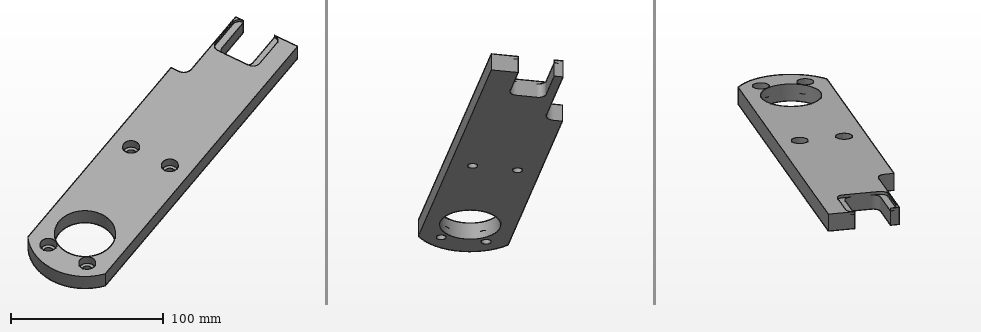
import cadquery as cq

length = 249.9
width = 60.0
thickness = 12.0
end_radius = 37.5
bottom_y = -length / 2
top_y = length / 2
bore_y = bottom_y + end_radius

step_width = 12.0
step_length = 60.0
step_fillet = 6.0

slot_width = 24.0
slot_length = 31.0
slot_fillet = 5.0
recess_width = 34.0
recess_depth = 2.0
recess_fillet = 5.0

bore_diameter = 40.0
screw_diameter = 6.5
counterbore_diameter = 11.0
counterbore_depth = 6.5
screw_spacing = 30.0
lower_screw_y = bottom_y + 16.5
upper_screw_y = bottom_y + 117.5


def make_blank():
    """Straight plate with a rounded end."""
    half_width = width / 2
    shoulder_y = bore_y - (end_radius**2 - half_width**2) ** 0.5
    return (
        cq.Workplane("XY")
        .moveTo(-half_width, top_y)
        .lineTo(-half_width, shoulder_y)
        .threePointArc((0, bottom_y), (half_width, shoulder_y))
        .lineTo(half_width, top_y)
        .close()
        .extrude(thickness)
    )


def cut_step(plate):
    """Remove the corner beside the fork and round its inner corner."""
    step_y = top_y - step_length
    step = (
        cq.Workplane("XY")
        .box(step_width, step_length, thickness, centered=False)
        .translate((-width / 2, step_y, 0))
        .edges(">X and <Y")
        .fillet(step_fillet)
    )
    return plate.cut(step)


def cut_fork(plate):
    """Cut the through slot and the round-cornered recess around it."""
    slot_centre_y = top_y - slot_length / 2
    slot = (
        cq.Workplane("XY")
        .center(0, slot_centre_y)
        .rect(slot_width, slot_length)
        .extrude(thickness)
        .edges("|Z and <Y")
        .fillet(slot_fillet)
    )
    recess = (
        cq.Workplane("XY", origin=(0, slot_centre_y, thickness - recess_depth))
        .rect(recess_width, slot_length)
        .extrude(recess_depth)
        .edges("|Z")
        .fillet(recess_fillet)
    )
    return plate.cut(slot).cut(recess)


def cut_holes(plate):
    """Cut the large bore and the four counterbored screw holes."""
    screw_points = [
        (x, y)
        for x in (-screw_spacing / 2, screw_spacing / 2)
        for y in (lower_screw_y, upper_screw_y)
    ]
    top_plane = cq.Workplane("XY", origin=(0, 0, thickness))
    bore = top_plane.center(0, bore_y).circle(bore_diameter / 2).extrude(-thickness)
    screws = top_plane.pushPoints(screw_points).circle(screw_diameter / 2).extrude(-thickness)
    counterbores = (
        top_plane.pushPoints(screw_points)
        .circle(counterbore_diameter / 2)
        .extrude(-counterbore_depth)
    )
    return plate.cut(bore).cut(screws).cut(counterbores)


result = cut_holes(cut_fork(cut_step(make_blank())))